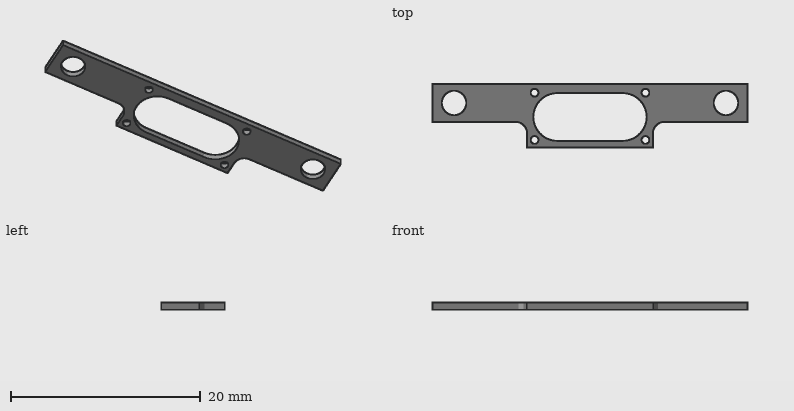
import cadquery as cq

length = 33.17
width = 6.7
thickness = 0.8

arm_width = 4.0
body_length = 13.27
corner_radius = 1.2

mount_diameter = 2.55
mount_spacing = 28.63

window_length = 11.9
window_width = 5.0
window_setback = 3.48
pin_diameter = 0.8
pin_spacing_x = 11.68
pin_spacing_y = 4.98
pin_setback = 3.4

back_y = width / 2
arm_center_y = back_y - arm_width / 2


def make_plate():
    """T-shaped plate with rounded inner corners where arms meet the body."""
    arms = cq.Workplane("XY").center(0, arm_center_y).rect(length, arm_width).extrude(thickness)
    body = cq.Workplane("XY").rect(body_length, width).extrude(thickness)
    plate = arms.union(body)
    corner_y = back_y - arm_width
    for corner_x in (-body_length / 2, body_length / 2):
        corner = cq.selectors.NearestToPointSelector((corner_x, corner_y, thickness / 2))
        plate = plate.edges("|Z").edges(corner).fillet(corner_radius)
    return plate


def make_hole_grid(diameter, spacing_x, spacing_y, center_y):
    """Cylinders for a pair or a rectangle of holes centred on the Y axis."""
    rows = 2 if spacing_y else 1
    return (
        cq.Workplane("XY")
        .center(0, center_y)
        .rarray(spacing_x, spacing_y or 0.33, 2, rows)
        .circle(diameter / 2)
        .extrude(thickness)
    )


window = (
    cq.Workplane("XY")
    .center(0, back_y - window_setback)
    .slot2D(window_length, window_width)
    .extrude(thickness)
)
mount_holes = make_hole_grid(mount_diameter, mount_spacing, 0, arm_center_y)
pin_holes = make_hole_grid(pin_diameter, pin_spacing_x, pin_spacing_y, back_y - pin_setback)

result = make_plate().cut(window).cut(mount_holes).cut(pin_holes)